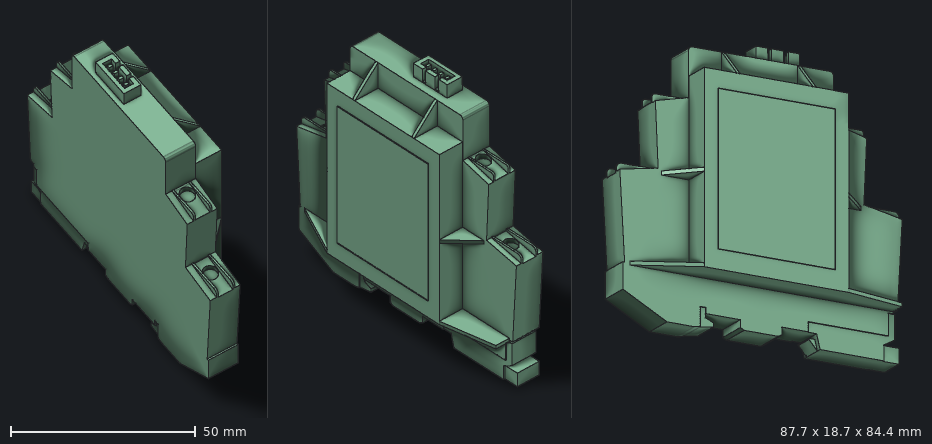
import cadquery as cq


TOTAL_WIDTH = 87.66
TOTAL_THICKNESS = 18.71
TOTAL_HEIGHT = 84.38

BODY_THICKNESS = 9.85
BODY_TOP = 79.9
HEAD_HALF = 22.5
HEAD_RADIUS = 1.2
WALL_FOOT_HALF = 42.35
WALL_FOOT_Z = 14.95
RAIL_SEAT_Z = 4.33
BUMP_HALF = 6.46
BUMP_Z = 1.5
BUMP_CHAMFER_X = 1.2
BUMP_CHAMFER_Z = 0.6
FOOT_RIGHT = 42.9
FOOT_SLOPE_Z = 7.1
BASE_START = 20.67
BASE_END = 29.2

UPPER_STEP = dict(inner=HEAD_HALF, outer=32.8, inner_z=65.2, outer_z=62.6, rib_z=65.3,
                  rib_radius=1.0, floor_shift=0.15, screw_x=25.5)
LOWER_STEP = dict(inner=31.95, outer=TOTAL_WIDTH / 2, inner_z=43.5, outer_z=41.2, rib_z=43.75,
                  rib_radius=1.5, floor_shift=-0.35, screw_x=36.5)
RIB_THICKNESS = 0.62
RIB_STARTS_Y = (2.04, 7.44)
RIB_ROOT_DEPTH = 3.0
SCREW_DIAMETER = 4.45
SCREW_Y = (RIB_STARTS_Y[0] + RIB_STARTS_Y[1] + RIB_THICKNESS) / 2
SCREW_DEPTH = 1.2

LATCH_Y = (0.6, 9.5)
LATCH_LEFT = -41.7
LATCH_POST_RIGHT = -39.45
LATCH_TOP = 13.8
LATCH_FLOOR_Z = 7.25
LATCH_NECK_Z = 6.5
LATCH_SHOULDER = -14.7
LATCH_BOTTOM_RIGHT = -18.5
LATCH_TOP_RIGHT = -17.4
WALL_NOTCH_X = -40.87
TAB_Y = (0.9, 9.0)
TAB_LEFT = -43.3
TAB_RIGHT = -38.3
TAB_TOP = 4.6
HOOK_Y = (2.0, 8.0)
HOOK_TIP_X = -15.9
HOOK_TOP = 3.2
HOOK_LIP = 0.3

FIXED_HOOK_LEFT = 17.1
FIXED_HOOK_RIGHT = 18.8
FIXED_HOOK_TOP = 6.1
FIXED_HOOK_ROOT_Z = 3.3
FIXED_HOOK_TIP_X = 14.5
FIXED_HOOK_TIP_Z = (1.0, 2.15)
FIXED_HOOK_HEEL_Z = 0.35

BLOCK_HALF = 22.4
BLOCK_BACK = 18.42
BLOCK_DEPTH = BLOCK_BACK - BODY_THICKNESS
BLOCK_TOP = BODY_TOP - BLOCK_DEPTH
BLOCK_BOTTOM = 14.35
GUSSET_THICKNESS = 1.0
GUSSET_HALF_SPACING = 11.8
FLANGE_THICKNESS = 1.15
UPPER_FLANGE_BOTTOM = 41.65
LOWER_FLANGE_LEFT = -41.0
LOWER_FLANGE_LEFT_BACK = 14.8
LOWER_FLANGE_RIGHT = 40.7
LABEL_HALF = 18.1
LABEL_Z = (20.1, 66.0)

PLUG_X = (-13.4, 0.1)
PLUG_Y = (1.6, 7.2)
PLUG_CAVITY_X = (-11.9, -1.4)
PLUG_CAVITY_Y = (2.9, 5.8)
PLUG_CAVITY_DEPTH = 4.0
PLUG_NOTCHES_X = ((-10.0, -8.5), (-4.7, -3.6))
PIN_COUNT = 4
PIN_PITCH = 2.54
PIN_WIDTH = 0.9
PIN_LENGTH = 1.3
PIN_DROP = 0.5


def extrude_xz(points, y_range):
    """Extrude an outline of (x, z) points through a range of Y."""
    start, end = y_range
    return cq.Workplane("XZ", origin=(0, start, 0)).polyline(points).close().extrude(start - end)


def extrude_xy(points, z_start, height):
    """Extrude an outline of (x, y) points upward."""
    return cq.Workplane("XY", origin=(0, 0, z_start)).polyline(points).close().extrude(height)


def block(x_range, y_range, z_range):
    """Box filling the given ranges."""
    ranges = (x_range, y_range, z_range)
    sizes = [end - start for start, end in ranges]
    corner = tuple(start for start, _ in ranges)
    return cq.Workplane("XY").box(*sizes, centered=False).translate(corner)


def mirrored_pair(shape):
    return shape.union(shape.mirror("YZ"))


def make_body():
    """Stepped housing plate with the rail seat cut into its lower edge."""
    right_steps = [
        (WALL_FOOT_HALF, WALL_FOOT_Z),
        (LOWER_STEP["outer"], LOWER_STEP["outer_z"]),
        (LOWER_STEP["inner"], LOWER_STEP["inner_z"]),
        (UPPER_STEP["outer"], UPPER_STEP["outer_z"]),
        (UPPER_STEP["inner"], UPPER_STEP["inner_z"]),
        (HEAD_HALF, BODY_TOP),
    ]
    left_steps = [(-x, z) for x, z in reversed(right_steps)]
    latch_recess = [
        (WALL_NOTCH_X, WALL_FOOT_Z),
        (WALL_NOTCH_X, LATCH_TOP),
        (LATCH_POST_RIGHT, LATCH_TOP),
        (LATCH_POST_RIGHT, LATCH_FLOOR_Z),
        (LATCH_SHOULDER, LATCH_FLOOR_Z),
        (LATCH_SHOULDER, RAIL_SEAT_Z),
    ]
    bump = [
        (-BUMP_HALF, RAIL_SEAT_Z),
        (-BUMP_HALF, BUMP_Z + BUMP_CHAMFER_Z),
        (-BUMP_HALF + BUMP_CHAMFER_X, BUMP_Z),
        (BUMP_HALF - BUMP_CHAMFER_X, BUMP_Z),
        (BUMP_HALF, BUMP_Z + BUMP_CHAMFER_Z),
        (BUMP_HALF, RAIL_SEAT_Z),
    ]
    right_foot = [
        (FIXED_HOOK_LEFT, RAIL_SEAT_Z),
        (FIXED_HOOK_LEFT, FIXED_HOOK_TOP),
        (FIXED_HOOK_RIGHT, FIXED_HOOK_TOP),
        (FIXED_HOOK_RIGHT, FIXED_HOOK_HEEL_Z),
        (BASE_START, 0),
        (BASE_END, 0),
        (FOOT_RIGHT, FOOT_SLOPE_Z),
        (FOOT_RIGHT, WALL_FOOT_Z),
    ]
    outline = latch_recess + bump + right_foot + right_steps + left_steps
    body = extrude_xz(outline, (0, BODY_THICKNESS))
    margin = HEAD_RADIUS
    head_corners = cq.selectors.BoxSelector(
        (-HEAD_HALF - margin, -margin, BODY_TOP - margin),
        (HEAD_HALF + margin, BODY_THICKNESS + margin, BODY_TOP + margin),
    )
    return body.edges("|Y").edges(head_corners).fillet(HEAD_RADIUS)


def slope_z(step, x):
    """Height of a step's sloped shoulder at a given X."""
    fraction = (x - step["inner"]) / (step["outer"] - step["inner"])
    return step["inner_z"] + fraction * (step["outer_z"] - step["inner_z"])


def add_terminal(body, step):
    """Rework the right and left shoulders of one step: floor, two ribs and a screw recess."""
    inner, outer = step["inner"], step["outer"]
    inner_z, outer_z = step["inner_z"], step["outer_z"]
    shift = step["floor_shift"]
    channel_y = (RIB_STARTS_Y[0] + RIB_THICKNESS, RIB_STARTS_Y[1])
    floor = [(inner, inner_z + shift), (outer, outer_z + shift)]

    if shift < 0:
        sunk = extrude_xz(floor + [(outer, inner_z), (inner, inner_z)], channel_y)
        body = body.cut(mirrored_pair(sunk))
    else:
        level_end = inner + shift * (outer - inner) / (inner_z - outer_z)
        raised_outline = [
            (inner, inner_z),
            (level_end, inner_z),
            (outer, outer_z + shift),
            (outer, outer_z),
        ]
        body = body.union(mirrored_pair(extrude_xz(raised_outline, channel_y)))

    for y in RIB_STARTS_Y:
        rib_outline = [
            (inner, inner_z - RIB_ROOT_DEPTH),
            (inner, step["rib_z"]),
            (outer, step["rib_z"]),
            (outer, outer_z),
        ]
        rib = extrude_xz(rib_outline, (y, y + RIB_THICKNESS))
        rib = rib.edges("|Y").edges(">X and >Z").fillet(step["rib_radius"])
        body = body.union(mirrored_pair(rib))

    screw_z = slope_z(step, step["screw_x"]) + shift - SCREW_DEPTH
    recess = (
        cq.Workplane("XY", origin=(step["screw_x"], SCREW_Y, screw_z))
        .circle(SCREW_DIAMETER / 2)
        .extrude(2 * SCREW_DEPTH)
    )
    return body.cut(mirrored_pair(recess))


def make_latch():
    """L-shaped rail latch with a release tab at the left and a hook at the right."""
    frame = extrude_xz(
        [
            (LATCH_LEFT, LATCH_TOP),
            (LATCH_POST_RIGHT, LATCH_TOP),
            (LATCH_POST_RIGHT, LATCH_FLOOR_Z),
            (LATCH_SHOULDER, LATCH_FLOOR_Z),
            (LATCH_SHOULDER, RAIL_SEAT_Z),
            (LATCH_TOP_RIGHT, RAIL_SEAT_Z),
            (LATCH_BOTTOM_RIGHT, 0),
            (TAB_RIGHT, 0),
            (TAB_RIGHT, TAB_TOP),
            (LATCH_LEFT, LATCH_NECK_Z),
        ],
        LATCH_Y,
    )
    tab = block((TAB_LEFT, TAB_RIGHT), TAB_Y, (0, TAB_TOP))
    hook = extrude_xz(
        [
            (LATCH_BOTTOM_RIGHT, 0),
            (HOOK_TIP_X, HOOK_TOP - HOOK_LIP),
            (HOOK_TIP_X, HOOK_TOP),
            (LATCH_BOTTOM_RIGHT, HOOK_TOP),
        ],
        HOOK_Y,
    )
    return frame.union(tab).union(hook)


def make_fixed_hook():
    """Rail hook set into the lower edge opposite the latch."""
    tip_low, tip_high = FIXED_HOOK_TIP_Z
    return extrude_xz(
        [
            (FIXED_HOOK_LEFT, FIXED_HOOK_TOP),
            (FIXED_HOOK_RIGHT, FIXED_HOOK_TOP),
            (FIXED_HOOK_RIGHT, FIXED_HOOK_HEEL_Z),
            (FIXED_HOOK_TIP_X, tip_low),
            (FIXED_HOOK_TIP_X, tip_high),
            (FIXED_HOOK_LEFT, FIXED_HOOK_ROOT_Z),
        ],
        LATCH_Y,
    )


def make_rear_block():
    """Block behind the body with two gussets on top and thin side flanges."""
    rear = block((-BLOCK_HALF, BLOCK_HALF), (BODY_THICKNESS, BLOCK_BACK), (BLOCK_BOTTOM, BLOCK_TOP))

    gusset = (
        cq.Workplane("YZ", origin=(GUSSET_HALF_SPACING - GUSSET_THICKNESS / 2, 0, 0))
        .polyline([
            (BODY_THICKNESS, BLOCK_TOP),
            (BLOCK_BACK, BLOCK_TOP),
            (BODY_THICKNESS, BODY_TOP),
        ])
        .close()
        .extrude(GUSSET_THICKNESS)
    )
    rear = rear.union(mirrored_pair(gusset))

    upper_flange = [
        (-BLOCK_HALF - BLOCK_DEPTH, BODY_THICKNESS),
        (-BLOCK_HALF, BLOCK_BACK),
        (BLOCK_HALF, BLOCK_BACK),
        (BLOCK_HALF + BLOCK_DEPTH, BODY_THICKNESS),
    ]
    rear = rear.union(extrude_xy(upper_flange, UPPER_FLANGE_BOTTOM, FLANGE_THICKNESS))

    lower_flange = [
        (LOWER_FLANGE_LEFT, BODY_THICKNESS),
        (LOWER_FLANGE_LEFT, LOWER_FLANGE_LEFT_BACK),
        (-BLOCK_HALF, BLOCK_BACK),
        (BLOCK_HALF, BLOCK_BACK),
        (LOWER_FLANGE_RIGHT, BODY_THICKNESS),
    ]
    rear = rear.union(extrude_xy(lower_flange, BLOCK_BOTTOM, FLANGE_THICKNESS))

    label = block((-LABEL_HALF, LABEL_HALF), (BLOCK_BACK, TOTAL_THICKNESS), LABEL_Z)
    return rear.union(label)


def make_plug():
    """Open-topped connector shell with two keying notches and a row of pins."""
    cavity_floor = TOTAL_HEIGHT - PLUG_CAVITY_DEPTH
    open_z = (cavity_floor, TOTAL_HEIGHT)
    plug = block(PLUG_X, PLUG_Y, (BODY_TOP, TOTAL_HEIGHT))
    plug = plug.cut(block(PLUG_CAVITY_X, PLUG_CAVITY_Y, open_z))
    for notch_x in PLUG_NOTCHES_X:
        plug = plug.cut(block(notch_x, (PLUG_CAVITY_Y[1], PLUG_Y[1]), open_z))

    row_x = sum(PLUG_CAVITY_X) / 2
    row_y = sum(PLUG_CAVITY_Y) / 2
    pin_height = PLUG_CAVITY_DEPTH - PIN_DROP
    pins = (
        cq.Workplane("XY", origin=(row_x, row_y, cavity_floor))
        .rarray(PIN_PITCH, 1, PIN_COUNT, 1)
        .rect(PIN_WIDTH, PIN_LENGTH)
        .extrude(pin_height)
    )
    return plug.union(pins)


result = make_body()
for terminal_step in (UPPER_STEP, LOWER_STEP):
    result = add_terminal(result, terminal_step)
for attachment in (make_latch(), make_fixed_hook(), make_rear_block(), make_plug()):
    result = result.union(attachment)